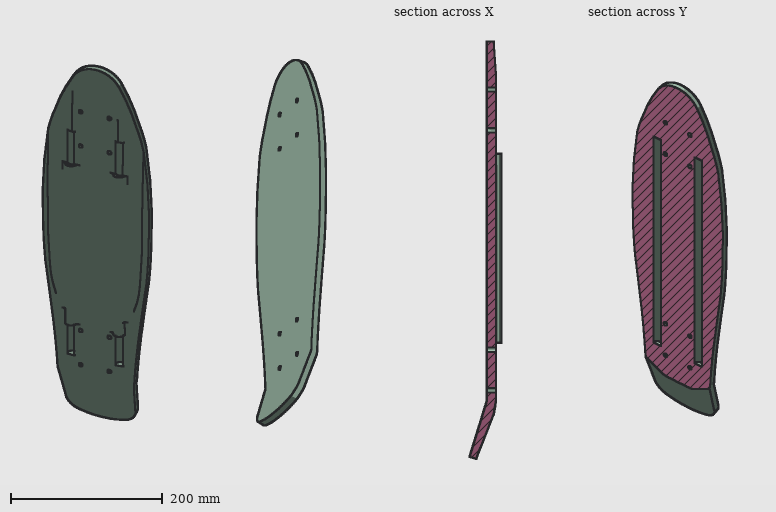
import cadquery as cq
import math

nose_z = 279.5
tip_z = -279.5
rim_depth = 9.5
crown_depth = 12.5
crown_half_width = 33.0

bend_angle = math.radians(17.1)
bend_radius = 13.5
bend_z = -198.5

bolt_diameter = 5.0
bolt_x = 20.5
bolt_pitch = 53.5
front_truck_z = 183.5
rear_truck_z = -160.0

rail_x = 34.5
groove_radius = 6.0
groove_axis_depth = 8.5
groove_top_z = 176.0
groove_bottom_z = -174.5
grip_diameter = 16.0
grip_radius = grip_diameter / 2
grip_depth = 19.5
grip_axis_y = grip_radius - grip_depth
grip_top_z = 126.0
grip_bottom_z = -124.0
grip_fillet = 5.5
outer_fillet_bottom_z = -103.5

nose = (0, nose_z)
nose_end = (crown_half_width, 261.5)
shoulder_mid = (58.0, 205.0)
shoulder_end = (69.0, 170.0)
waist_start = (76.0, 18.5)
waist_end = (72.5, -39.0)
lower_side = (64.0, -104.5)
tail_side_start = (56.5, -180.0)
bend_start = (55.5, bend_z)

strip_top = (0, 240.5)
strip_shoulder = (crown_half_width, strip_top[1] - crown_half_width)
strip_arc_mid = (
    crown_half_width * math.sin(math.pi / 4),
    strip_shoulder[1] + crown_half_width * math.cos(math.pi / 4),
)
wing_root = (crown_half_width, 128.5)
wing_top = (68.0, 93.0)
wing_bottom = (67.5, 12.0)
wing_curve_start = (65.0, -39.0)
wing_end = (crown_half_width, -124.5)
strip_bottom = (crown_half_width, -184.5)
strip_corner = (31.0, bend_z)

band_top_z = -200.5
band_top_side = (22.0, band_top_z)
band_top_inner = (9.5, band_top_z)
band_top_middle = (0, band_top_z)
band_foot_corner = (32.5, -205.5, 12.0)
band_foot_side = (22.0, -218.0, 9.5)
band_foot_inner = (13.5, -223.0, 8.0)
band_foot_middle = (0, -223.5, 8.0)

deck_sections = [
    ([nose, (18.5, 275.0), nose_end], [strip_top, strip_arc_mid, strip_shoulder]),
    ([nose_end, (47.0, 234.5), shoulder_mid], [strip_shoulder, wing_root]),
    ([shoulder_mid, (64.0, 187.0), shoulder_end], [wing_root, wing_top]),
    ([shoulder_end, (76.5, 78.0), waist_start], [wing_top, wing_bottom]),
    ([waist_start, (75.0, -10.0), waist_end], [wing_bottom, wing_curve_start]),
    ([waist_end, (68.0, -73.0), lower_side], [wing_curve_start, (58.0, -77.0), wing_end]),
    ([lower_side, (60.0, -142.5), tail_side_start], [wing_end, strip_bottom]),
    ([tail_side_start, bend_start], [strip_bottom, strip_corner]),
]

tail_run = (
    bend_z - tip_z - (bend_radius + rim_depth) * math.sin(bend_angle)
) / math.cos(bend_angle)
tail_start = (54.0, 0)
tail_corner_start = (50.5, tail_run - 31.0)
tail_corner_mid = (44.0, tail_run - 13.0)
tail_corner_end = (32.0, tail_run - 5.0)
tail_sections = [
    ([tail_start, tail_corner_start], [band_foot_corner, band_foot_side]),
    ([tail_corner_start, tail_corner_mid, tail_corner_end], [band_foot_side, band_foot_inner]),
    ([tail_corner_end, (16.0, tail_run - 1.0), (0, tail_run)], [band_foot_inner, band_foot_middle]),
]
band_top = [
    [strip_corner, band_top_side],
    [band_top_side, band_top_inner],
    [band_top_inner, band_top_middle],
]


def on_deck(point, depth):
    x, z = point
    return cq.Vector(x, -depth, z)


def on_tail(point, depth, angle=bend_angle):
    """Place (x, run) on the tail, turned by angle about the bend axis."""
    x, run = point
    radius = bend_radius + depth
    y = bend_radius - radius * math.cos(angle) + run * math.sin(angle)
    z = bend_z - radius * math.sin(angle) - run * math.cos(angle)
    return cq.Vector(x, y, z)


def edge_through(points):
    if len(points) == 2:
        return cq.Edge.makeLine(*points)
    return cq.Edge.makeThreePointArc(*points)


def deck_edge(points, depth):
    return edge_through([on_deck(p, depth) for p in points])


def tail_edge(points, depth):
    return edge_through([on_tail(p, depth) for p in points])


def bend_edge(depth):
    middle = ((bend_start[0] + tail_start[0]) / 2, 0)
    return edge_through([
        on_deck(bend_start, depth),
        on_tail(middle, depth, bend_angle / 2),
        on_tail(tail_start, depth),
    ])


def mirrored(shapes):
    return [shape.mirror("YZ") for shape in shapes]


def flat_face(half_edges, closing_edges=()):
    edges = half_edges + mirrored(half_edges) + list(closing_edges)
    return cq.Face.makeFromWires(cq.Wire.assembleEdges(edges))


def cross_edge(edge, at_end):
    """Straight edge across the board from one end of a right-hand edge to its mirror image."""
    end = edge.endPoint() if at_end else edge.startPoint()
    return cq.Edge.makeLine(end, cq.Vector(-end.x, end.y, end.z))


def ruled_faces(first_edges, second_edges):
    return [cq.Face.makeRuledSurface(a, b) for a, b in zip(first_edges, second_edges)]


def make_board():
    """Plain deck with kicked-up tail, closed from ruled and flat faces."""
    deck_rims = [rim for rim, tread in deck_sections]
    deck_treads = [tread for rim, tread in deck_sections]
    tail_rims = [rim for rim, foot in tail_sections]
    band_feet = [foot for rim, foot in tail_sections]

    deck_back = [deck_edge(rim, 0) for rim in deck_rims]
    bend_back = bend_edge(0)
    tail_back = [tail_edge(rim, 0) for rim in tail_rims]
    back_edges = deck_back + [bend_back] + tail_back

    rim_edges = [deck_edge(rim, rim_depth) for rim in deck_rims]
    rim_edges.append(bend_edge(rim_depth))
    rim_edges += [tail_edge(rim, rim_depth) for rim in tail_rims]

    deck_tread = [deck_edge(tread, crown_depth) for tread in deck_treads]
    band_top_edges = [deck_edge(line, crown_depth) for line in band_top]
    band_foot_edges = [
        edge_through([on_deck((x, z), depth) for x, z, depth in foot])
        for foot in band_feet
    ]
    band_side = edge_through([
        on_deck(strip_corner, crown_depth),
        on_deck(band_foot_corner[:2], band_foot_corner[2]),
    ])
    tread_edges = deck_tread + [band_side] + band_foot_edges

    half_faces = ruled_faces(back_edges, rim_edges)
    half_faces += ruled_faces(rim_edges, tread_edges)
    half_faces += ruled_faces(band_top_edges, band_foot_edges)
    faces = half_faces + mirrored(half_faces)

    faces.append(flat_face(deck_tread + band_top_edges))
    faces.append(flat_face(deck_back, [cross_edge(bend_back, at_end=False)]))
    faces += ruled_faces([bend_back], mirrored([bend_back]))
    faces.append(flat_face(tail_back, [cross_edge(bend_back, at_end=True)]))
    return cq.Workplane("XY").newObject([cq.Solid.makeSolid(cq.Shell.makeShell(faces))])


def make_grip(x):
    """Round bar along the board, half sunk into the tread."""
    return (
        cq.Workplane("XY", origin=(x, grip_axis_y, grip_bottom_z))
        .circle(grip_radius)
        .extrude(grip_top_z - grip_bottom_z)
    )


def make_grip_fillet(x, side, bottom_z):
    """Concave blend between one side of a grip and the flat tread."""
    blend_y = -crown_depth - grip_fillet
    rise = grip_axis_y - blend_y
    reach = math.sqrt((grip_radius + grip_fillet) ** 2 - rise ** 2)
    to_grip = grip_radius / (grip_radius + grip_fillet)
    on_grip = (x + side * reach * to_grip, grip_axis_y - rise * to_grip)
    on_tread = (x + side * reach, -crown_depth)
    angle = (math.atan2(rise, -reach) + math.pi / 2) / 2
    on_blend = (
        x + side * (reach + grip_fillet * math.cos(angle)),
        blend_y + grip_fillet * math.sin(angle),
    )
    return (
        cq.Workplane("XY", origin=(0, 0, bottom_z))
        .moveTo(*on_grip)
        .threePointArc(on_blend, on_tread)
        .lineTo(on_tread[0], -rim_depth)
        .lineTo(x, -rim_depth)
        .lineTo(x, grip_axis_y)
        .close()
        .extrude(grip_top_z - bottom_z)
    )


def make_groove(x):
    return (
        cq.Workplane("XY", origin=(x, -groove_axis_depth, groove_bottom_z))
        .circle(groove_radius)
        .extrude(groove_top_z - groove_bottom_z)
    )


def make_bolt_holes():
    rows = [
        truck_z + offset
        for truck_z in (front_truck_z, rear_truck_z)
        for offset in (-bolt_pitch / 2, bolt_pitch / 2)
    ]
    points = [(x, z) for x in (-bolt_x, bolt_x) for z in rows]
    return (
        cq.Workplane("XZ")
        .pushPoints(points)
        .circle(bolt_diameter / 2)
        .extrude(2 * crown_depth, both=True)
    )


result = make_board()
for side in (-1, 1):
    x = side * rail_x
    result = result.union(make_grip(x))
    result = result.union(make_grip_fillet(x, side, outer_fillet_bottom_z))
    result = result.union(make_grip_fillet(x, -side, grip_bottom_z))
    result = result.cut(make_groove(x))
result = result.cut(make_bolt_holes())